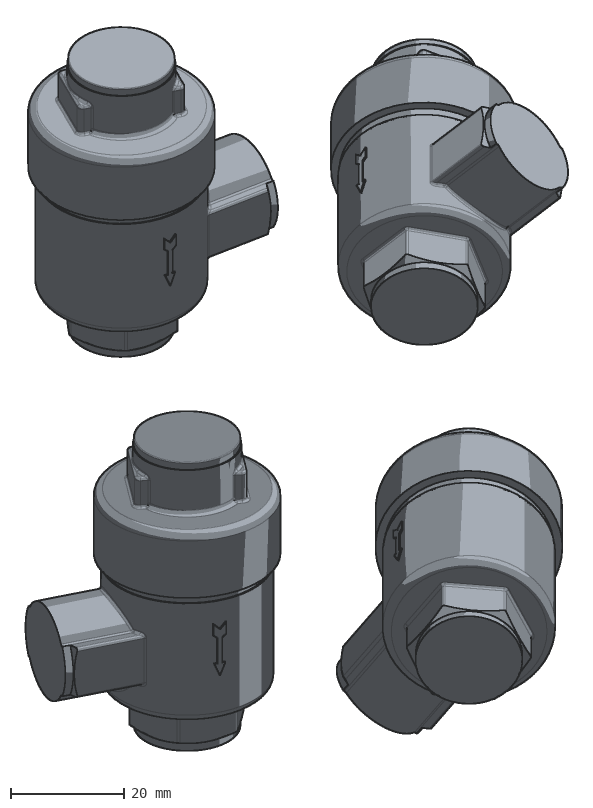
import cadquery as cq
import math

TOTAL_HEIGHT = 58.2
TOTAL_DEPTH = 43.5
CAP_RADIUS = 33.0 / 2

LARGE_FILLET = 1.5
SMALL_FILLET = 0.5
EDGE_FILLET = 0.2

COLLAR_RADIUS = 9.4
COLLAR_HEIGHT = 1.5
HEX_ACROSS_FLATS = 19.2
HEX_CHAMFER_ANGLE = 30.0
HEX_SIDES = 6
HEX_HALF_SECTOR = 180.0 / HEX_SIDES
BODY_RADIUS = 15.25
BODY_BOTTOM = 8.95
BODY_TOP = 32.95
NECK_RADIUS = 15.0
CAP_BOTTOM = 34.75
CAP_TOP = 47.8
SPIGOT_RADIUS = HEX_ACROSS_FLATS / 2
SPIGOT_BASE_FILLET = 0.9
SPIGOT_TOP = TOTAL_HEIGHT - COLLAR_HEIGHT

TAB_ACROSS_FLATS = 20.0
TAB_WIDTH = 12.0
TAB_TOP = 53.7
TAB_CORNER_FILLET = 1.0
TAB_ANGLE = -15.0

PORT_RADIUS = 9.0
PORT_HEIGHT = 20.5
PORT_END = TOTAL_DEPTH - CAP_RADIUS
PORT_FLATS_HEIGHT = 10.0

ARROW_RELIEF = 0.3
ARROW_TOP = 28.5
ARROW_TAIL_HALF_WIDTH = 1.2
ARROW_TAIL_LENGTH = 2.3
ARROW_NOTCH_DEPTH = 1.2
ARROW_SHAFT_HALF_WIDTH = 0.45
ARROW_SHAFT_TOP = 25.55
ARROW_HEAD_HALF_WIDTH = 1.05
ARROW_HEAD_BASE = PORT_HEIGHT
ARROW_TIP = 18.0

SELECT_TOLERANCE = 0.003
FOOT_REACH = 11.65


def cylinder(radius, bottom, top):
    return cq.Workplane("XY").workplane(offset=bottom).circle(radius).extrude(top - bottom)


def lies_on_cylinder(edge, radius):
    """True when the edge keeps the given distance from the Z axis."""
    points = edge.positions([0, 0.3, 0.6, 1])
    return all(abs(math.hypot(point.x, point.y) - radius) < SELECT_TOLERANCE for point in points)


def foot_edges(part, level):
    """Edges lying at the given height within FOOT_REACH of the Z axis."""

    def is_at_foot(edge):
        points = edge.positions([0, 0.3, 0.6, 1])
        return all(
            abs(point.z - level) < SELECT_TOLERANCE and math.hypot(point.x, point.y) < FOOT_REACH
            for point in points
        )

    return part.edges().filter(is_at_foot)


def chamfer_envelope(length):
    """Solid along +Z: an end collar, then a cone that bevels the corners of wrench flats."""
    outer_radius = HEX_ACROSS_FLATS
    cone_height = (outer_radius - COLLAR_RADIUS) * math.tan(math.radians(HEX_CHAMFER_ANGLE))
    return (
        cq.Workplane("XZ")
        .moveTo(0, 0)
        .lineTo(COLLAR_RADIUS, 0)
        .lineTo(COLLAR_RADIUS, COLLAR_HEIGHT)
        .lineTo(outer_radius, COLLAR_HEIGHT + cone_height)
        .lineTo(outer_radius, length)
        .lineTo(0, length)
        .close()
        .revolve(360, (0, 0, 0), (0, 1, 0))
    )


def make_body():
    barrel = cylinder(BODY_RADIUS, BODY_BOTTOM, BODY_TOP).faces("<Z").edges().fillet(LARGE_FILLET)
    neck = cylinder(NECK_RADIUS, BODY_TOP, CAP_BOTTOM)
    return barrel.union(neck)


def make_cap():
    cap = cylinder(CAP_RADIUS, CAP_BOTTOM, CAP_TOP)
    return cap.faces(">Z").edges().fillet(LARGE_FILLET)


def make_tabs():
    """Both wrench tabs as one bar through the main axis; the spigot hides its middle."""
    return (
        cq.Workplane("XY")
        .workplane(offset=CAP_TOP)
        .rect(TAB_WIDTH, TAB_ACROSS_FLATS)
        .extrude(TAB_TOP - CAP_TOP)
        .edges("|Z")
        .fillet(TAB_CORNER_FILLET)
        .faces(">Z")
        .edges()
        .fillet(SMALL_FILLET)
        .rotate((0, 0, 0), (0, 0, 1), TAB_ANGLE)
    )


def make_upper_end():
    """Cap with the round spigot and its two wrench tabs, all joints rounded."""
    spigot = cylinder(SPIGOT_RADIUS, CAP_TOP, SPIGOT_TOP)
    cap_with_spigot = make_cap().union(spigot)
    cap_with_spigot = foot_edges(cap_with_spigot, CAP_TOP).fillet(SPIGOT_BASE_FILLET)
    cap_with_tabs = make_cap().union(make_tabs())
    cap_with_tabs = foot_edges(cap_with_tabs, CAP_TOP).fillet(SMALL_FILLET)
    joined = cap_with_tabs.union(cap_with_spigot)

    def joins_tab_to_spigot(edge):
        centre = edge.Center()
        beside_seam = abs(centre.y) > SMALL_FILLET
        beside_tab = CAP_TOP < centre.z < TAB_TOP + SELECT_TOLERANCE
        return beside_seam and beside_tab and lies_on_cylinder(edge, SPIGOT_RADIUS)

    joined = joined.edges().filter(joins_tab_to_spigot).fillet(SMALL_FILLET)
    end = cylinder(COLLAR_RADIUS, SPIGOT_TOP, TOTAL_HEIGHT).faces(">Z").edges().fillet(EDGE_FILLET)
    return joined.union(end)


def make_hexagon():
    """Hexagon with flats facing -X and +X, bevelled down to a round collar."""
    corner_diameter = HEX_ACROSS_FLATS / math.cos(math.radians(HEX_HALF_SECTOR))
    hexagon = (
        cq.Workplane("XY")
        .polygon(HEX_SIDES, corner_diameter)
        .extrude(BODY_BOTTOM)
        .edges("|Z")
        .fillet(SMALL_FILLET)
        .rotate((0, 0, 0), (0, 0, 1), HEX_HALF_SECTOR)
    )
    return hexagon.intersect(chamfer_envelope(BODY_BOTTOM))


def make_port():
    """Round port, built along +Z from its outer end and then turned to point along +Y."""
    tube = cq.Workplane("XY").circle(PORT_RADIUS).extrude(PORT_END)
    flats = (
        cq.Workplane("XY")
        .rect(HEX_ACROSS_FLATS, PORT_FLATS_HEIGHT)
        .extrude(PORT_END)
        .edges("|Z")
        .fillet(SMALL_FILLET)
        .intersect(chamfer_envelope(PORT_END))
    )

    def joins_flats_to_tube(edge):
        return lies_on_cylinder(edge, PORT_RADIUS)

    return (
        tube.union(flats)
        .edges("|Z")
        .filter(joins_flats_to_tube)
        .fillet(SMALL_FILLET)
        .rotate((0, 0, 0), (1, 0, 0), 90)
        .translate((0, PORT_END, PORT_HEIGHT))
    )


def make_arrows():
    """Arrows pointing down, raised from the barrel towards -X and +X."""
    right_side = [
        (ARROW_TAIL_HALF_WIDTH, ARROW_TOP),
        (ARROW_TAIL_HALF_WIDTH, ARROW_TOP - ARROW_TAIL_LENGTH),
        (ARROW_SHAFT_HALF_WIDTH, ARROW_SHAFT_TOP),
        (ARROW_SHAFT_HALF_WIDTH, ARROW_HEAD_BASE),
        (ARROW_HEAD_HALF_WIDTH, ARROW_HEAD_BASE),
    ]
    left_side = [(-y, z) for y, z in reversed(right_side)]
    outline = [(0, ARROW_TOP - ARROW_NOTCH_DEPTH)] + right_side + [(0, ARROW_TIP)] + left_side
    prism = cq.Workplane("YZ").polyline(outline).close().extrude(CAP_RADIUS, both=True)
    return prism.intersect(cylinder(BODY_RADIUS + ARROW_RELIEF, BODY_BOTTOM, BODY_TOP))


def make_lower_end():
    """Barrel with the side port and the hexagon, all joints rounded."""
    with_port = make_body().union(make_port())

    def joins_port_to_barrel(edge):
        beside_port = edge.Center().y > PORT_RADIUS
        return beside_port and lies_on_cylinder(edge, BODY_RADIUS)

    with_port = with_port.edges().filter(joins_port_to_barrel).fillet(SMALL_FILLET)
    with_hexagon = with_port.union(make_hexagon())
    return foot_edges(with_hexagon, BODY_BOTTOM).fillet(SMALL_FILLET)


result = make_lower_end().union(make_upper_end()).union(make_arrows())